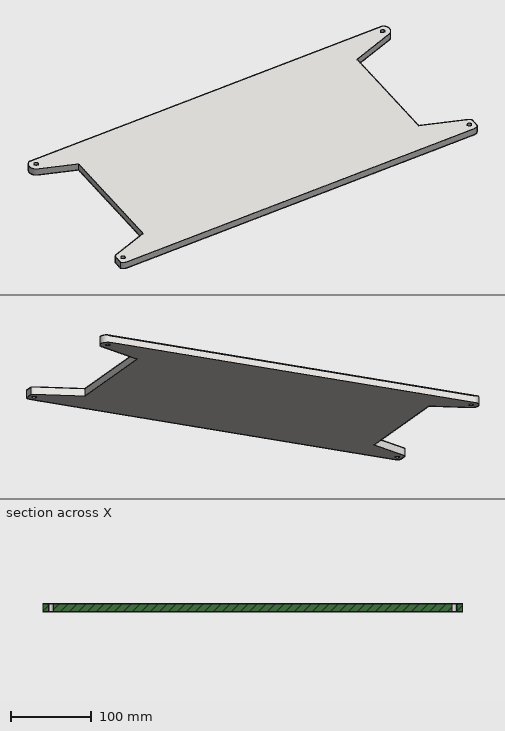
import cadquery as cq
import math

plate_width = 230.0
plate_length = 520.0
plate_thickness = 10.0
ear_radius = 10.0
hole_diameter = 5.5
hole_x = plate_width / 2 - ear_radius
hole_y = plate_length / 2 - ear_radius

back_notch_y = 195.0
front_notch_y = -205.0

flat_ear_y = 257.5

bevel = 1.5

flank_angle = math.radians(20.0)
tangent_x = hole_x - ear_radius * math.cos(flank_angle)
tangent_y = hole_y + ear_radius * math.sin(flank_angle)


def flank_x(y):
    """Distance of the ear flank from the centre line at distance y from the middle."""
    return tangent_x - (tangent_y - y) * math.tan(flank_angle)


def make_plate():
    """Plate with four equal round ears and a tapered notch at each end."""
    side_x = plate_width / 2
    end_y = plate_length / 2
    back_x = flank_x(back_notch_y)
    front_x = flank_x(-front_notch_y)
    outline = (
        cq.Workplane("XY")
        .moveTo(-side_x, -hole_y)
        .lineTo(-side_x, hole_y)
        .threePointArc((-hole_x, end_y), (-tangent_x, tangent_y))
        .lineTo(-back_x, back_notch_y)
        .lineTo(back_x, back_notch_y)
        .lineTo(tangent_x, tangent_y)
        .threePointArc((hole_x, end_y), (side_x, hole_y))
        .lineTo(side_x, -hole_y)
        .threePointArc((hole_x, -end_y), (tangent_x, -tangent_y))
        .lineTo(front_x, front_notch_y)
        .lineTo(-front_x, front_notch_y)
        .lineTo(-tangent_x, -tangent_y)
        .threePointArc((-hole_x, -end_y), (-side_x, -hole_y))
        .close()
    )
    return outline.extrude(plate_thickness)


def ear_trim(side):
    """Block that cuts the +X ear flat at the back (side = 1) or front (side = -1) end."""
    return (
        cq.Workplane("XY")
        .center(hole_x, side * (flat_ear_y + ear_radius))
        .rect(4 * ear_radius, 2 * ear_radius)
        .extrude(plate_thickness)
    )


def edge_bevel():
    """Triangular bar that bevels the upper -X edge over the full length."""
    side_x = -plate_width / 2
    return (
        cq.Workplane("XZ")
        .moveTo(side_x, plate_thickness)
        .lineTo(side_x + bevel, plate_thickness)
        .lineTo(side_x, plate_thickness - bevel)
        .close()
        .extrude(plate_length / 2, both=True)
    )


def mounting_holes():
    """Cylinders for the four through holes, one at the centre of each ear round."""
    return (
        cq.Workplane("XY")
        .rect(2 * hole_x, 2 * hole_y, forConstruction=True)
        .vertices()
        .circle(hole_diameter / 2)
        .extrude(plate_thickness)
    )


result = make_plate()
for end_side in (1, -1):
    result = result.cut(ear_trim(end_side))
result = result.cut(edge_bevel())
result = result.cut(mounting_holes())